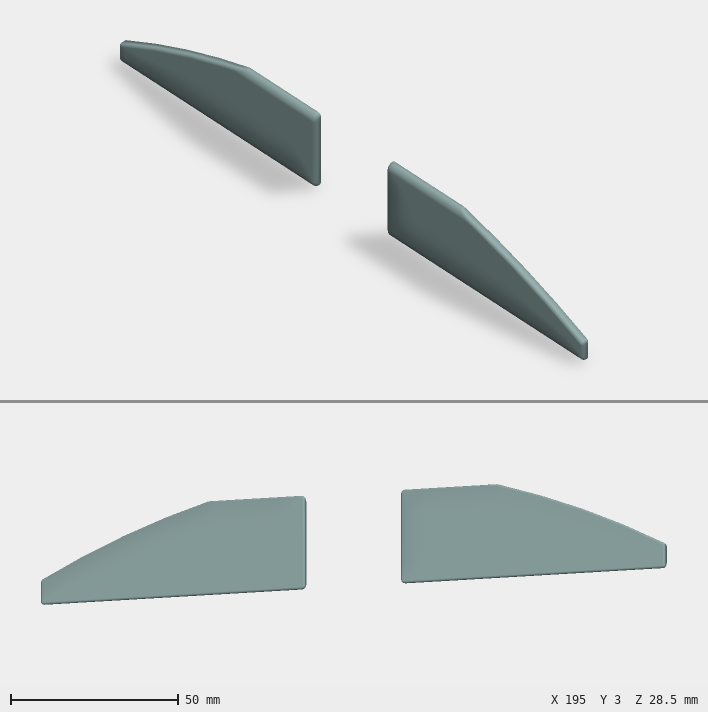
import cadquery as cq

total_length = 195.0
gap = 30.0
thickness = 3.0
height = 28.5

inner_x = gap / 2
outer_x = total_length / 2
tip_height = 7.5
flat_length = 30.0
arc_rise = 1.65
shoulder_x = inner_x + flat_length

back_edge_radius = 0.5

edge_land = 0.1
long_edge_radius = thickness - back_edge_radius - edge_land
inner_edge_radius = 1.2
arc_edge_radius = 1.0
tip_edge_radius = 0.8

back_y = thickness / 2
bottom_z = -height / 2
top_z = height / 2
tip_z = bottom_z + tip_height


def make_plate():
    """Right-hand plate, tallest at the inner end and curving down to the tip."""
    arc_middle = ((shoulder_x + outer_x) / 2, (top_z + tip_z) / 2 + arc_rise)
    blank = (
        cq.Workplane("XZ", origin=(0, back_y, 0))
        .moveTo(inner_x, bottom_z)
        .lineTo(inner_x, top_z)
        .lineTo(shoulder_x, top_z)
        .threePointArc(arc_middle, (outer_x, tip_z))
        .lineTo(outer_x, bottom_z)
        .close()
        .extrude(thickness)
    )
    plate = round_front_edges(blank)
    return plate.faces(">Y").edges().fillet(back_edge_radius)


def round_front_edges(blank):
    """Round each front edge with the radius of the side it borders."""
    plate = blank.faces("<Y").edges("<Z or (|X and >Z)").fillet(long_edge_radius)
    plate = plate.faces("<Y").edges("<X").fillet(inner_edge_radius)
    plate = plate.faces("<Y").edges(">X").fillet(tip_edge_radius)
    return plate.faces("<Y").edges("not(|X or |Z)").fillet(arc_edge_radius)


right_plate = make_plate()
left_plate = right_plate.mirror("YZ")

result = cq.Compound.makeCompound([left_plate.val(), right_plate.val()])